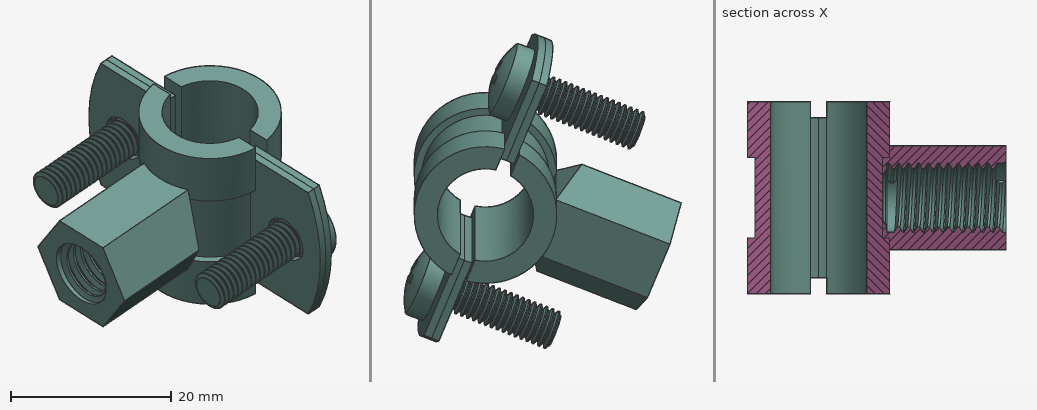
import cadquery as cq
import math


bore_dia = 12.0
band_dia = 16.0
collar_dia = 17.8
clamp_height = 24.0
band_height = 10.0
plate_thickness = 1.0
plate_height = 20.0
plate_span = 40.0
plate_inner_dia = 14.0
tip_radius = 25.0

screw_offset = 14.0
rear_hole_dia = 5.5
front_hole_dia = 6.0
thread_dia = 5.0
thread_root_dia = 4.1
thread_pitch = 0.8
thread_flat = 0.15
shank_length = 16.0
head_dia = 9.6
head_rim_height = 1.9
head_shoulder_height = 2.3
head_shoulder_dia = 9.3
head_height = 3.6
recess_width = 1.1
recess_depth = 0.3

nut_flats = 13.0
nut_front = 23.4
nut_corner_drop = 2.0
nut_offset = 0.1
nut_crest_dia = 7.3
nut_root_dia = 8.6
nut_pitch = 1.25
nut_crest_width = 0.3
nut_base_width = 1.1
nut_thread_turns = 11
nut_thread_start = 30.0
ridge_embed = 0.1
nut_drill_dia = 6.7
nut_seat_dia = 5.6
drill_point_angle = 118.0


def centred_cylinder(diameter, height):
    return cq.Workplane("XY").circle(diameter / 2).extrude(height / 2, both=True)


def cross_bore(diameter, x, length):
    """Cylinder along Y, centred on y = 0."""
    return cq.Workplane("XZ").center(x, 0).circle(diameter / 2).extrude(length / 2, both=True)


def make_ear_plate():
    """Plate with rounded tips, from y = 0 to its thickness, open around the bore."""
    half_height = plate_height / 2
    half_span = plate_span / 2
    corner_x = half_span - tip_radius + math.sqrt(tip_radius**2 - half_height**2)
    plate = (
        cq.Workplane("XZ")
        .moveTo(-corner_x, -half_height)
        .lineTo(corner_x, -half_height)
        .threePointArc((half_span, 0), (corner_x, half_height))
        .lineTo(-corner_x, half_height)
        .threePointArc((-half_span, 0), (-corner_x, -half_height))
        .close()
        .extrude(-plate_thickness)
    )
    return plate.cut(centred_cylinder(plate_inner_dia, clamp_height))


def make_half_ring():
    """Half of the collared ring, starting at the outer face of the ear plate."""
    collars = centred_cylinder(collar_dia, clamp_height).cut(centred_cylinder(collar_dia, band_height))
    ring = collars.union(centred_cylinder(band_dia, band_height)).cut(centred_cylinder(bore_dia, clamp_height))
    keep = (
        cq.Workplane("XY")
        .box(collar_dia, collar_dia, clamp_height, centered=(True, False, True))
        .translate((0, plate_thickness, 0))
    )
    return ring.intersect(keep)


def make_clamp_half(screw_hole_dia):
    """Clamp half, built on the +Y side."""
    half = make_half_ring().union(make_ear_plate())
    for x in (-screw_offset, screw_offset):
        half = half.cut(cross_bore(screw_hole_dia, x, 4 * plate_thickness))
    return half


def thread_outline():
    """Ridges of the screw thread as (radius, distance along the axis) points, from tip to head."""
    root = thread_root_dia / 2
    crest = thread_dia / 2
    points = []
    for i in range(round(shank_length / thread_pitch)):
        start = i * thread_pitch - shank_length
        points += [
            (root, start + thread_flat / 2),
            (crest, start + (thread_pitch - thread_flat) / 2),
            (crest, start + (thread_pitch + thread_flat) / 2),
            (root, start + thread_pitch - thread_flat / 2),
        ]
    return points


def make_screw(x):
    """Screw seated on the +Y ear plate, its thread formed by ring-shaped ridges."""
    root = thread_root_dia / 2

    rise = head_height - head_shoulder_height
    shoulder = head_shoulder_dia / 2
    dome_radius = (shoulder**2 + rise**2) / (2 * rise)
    mid_radius = shoulder / 2
    mid_height = head_height - dome_radius + math.sqrt(dome_radius**2 - mid_radius**2)

    screw = (
        cq.Workplane("XY")
        .moveTo(0, -shank_length)
        .lineTo(root, -shank_length)
        .polyline(thread_outline(), includeCurrent=True)
        .lineTo(root, 0)
        .lineTo(head_dia / 2, 0)
        .lineTo(head_dia / 2, head_rim_height)
        .tangentArcPoint((shoulder, head_shoulder_height), relative=False)
        .threePointArc((mid_radius, mid_height), (0, head_height))
        .close()
        .revolve(360, (0, 0, 0), (0, 1, 0))
    )
    slot = (
        cq.Workplane("XY")
        .box(head_dia, recess_depth, recess_width)
        .translate((0, head_height - recess_depth / 2, 0))
    )
    cross = slot.union(slot.rotate((0, 0, 0), (0, 1, 0), 90))
    return screw.cut(cross).translate((x, plate_thickness, 0))


def make_nut_blank():
    """Hexagonal bar whose seated end touches the band and is bevelled towards its side corners."""
    corner_dia = nut_flats / math.cos(math.pi / 6)
    seat = band_dia / 2
    bar = cq.Workplane("XZ").polygon(6, corner_dia).extrude(nut_front)
    outline = (
        cq.Workplane("XY")
        .moveTo(-corner_dia / 4, -seat)
        .lineTo(corner_dia / 4, -seat)
        .lineTo(corner_dia / 2, -seat - nut_corner_drop)
        .lineTo(corner_dia / 2, -nut_front)
        .lineTo(-corner_dia / 2, -nut_front)
        .lineTo(-corner_dia / 2, -seat - nut_corner_drop)
        .close()
        .extrude(nut_flats, both=True)
    )
    return bar.intersect(outline)


def make_nut_bore():
    """Bore at the thread root, then a drilled hole whose point is cut short by the seated end."""
    root = nut_root_dia / 2
    drill = nut_drill_dia / 2
    seat_radius = nut_seat_dia / 2
    seat = -band_dia / 2
    thread_end = (nut_thread_turns + 1) * nut_pitch - nut_front
    point_base = seat - (drill - seat_radius) / math.tan(math.radians(drill_point_angle / 2))
    return (
        cq.Workplane("XY")
        .moveTo(0, -nut_front)
        .lineTo(root, -nut_front)
        .lineTo(root, thread_end)
        .lineTo(drill, thread_end)
        .lineTo(drill, point_base)
        .lineTo(seat_radius, seat)
        .lineTo(0, seat)
        .close()
        .revolve(360, (0, 0, 0), (0, 1, 0))
    )


def make_nut_thread():
    """Right-handed helical ridge, starting at the open end of the nut."""
    root = nut_root_dia / 2
    crest = nut_crest_dia / 2
    half_crest = nut_crest_width / 2
    half_base = nut_base_width / 2
    sunk_half_base = half_base + ridge_embed * (half_base - half_crest) / (root - crest)
    section = [
        (root + ridge_embed, -sunk_half_base),
        (crest, -half_crest),
        (crest, half_crest),
        (root + ridge_embed, sunk_half_base),
    ]
    helix = cq.Wire.makeHelix(nut_pitch, nut_thread_turns * nut_pitch, root)
    thread = cq.Workplane("XZ").polyline(section).close().sweep(cq.Workplane(obj=helix), isFrenet=True)
    return (
        thread.rotate((0, 0, 0), (0, 0, 1), -nut_thread_start)
        .rotate((0, 0, 0), (1, 0, 0), -90)
        .translate((0, nut_pitch / 2 - nut_front, 0))
    )


rear_clamp = make_clamp_half(rear_hole_dia)
front_clamp = make_clamp_half(front_hole_dia).mirror("XZ")
screws = [make_screw(x) for x in (-screw_offset, screw_offset)]
nut_body = make_nut_blank().cut(make_nut_bore()).union(make_nut_thread())
nut = nut_body.translate((nut_offset, 0, 0)).cut(front_clamp)

result = cq.Compound.makeCompound(
    [rear_clamp.val(), front_clamp.val(), *[screw.val() for screw in screws], nut.val()]
)